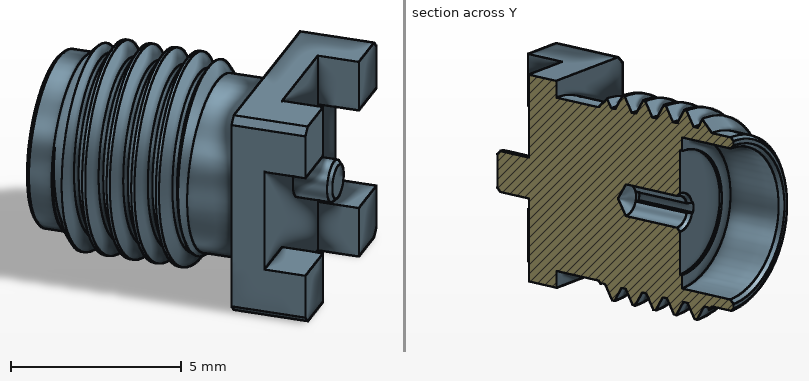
import cadquery as cq
import math


total_length = 8.84
base_thickness = 2.29
base_start = total_length - base_thickness

base_side = 6.35
base_edge_chamfer = 0.22
leg_height = 1.27
leg_gap = 3.18
leg_root = total_length - leg_height

barrel_radius = 2.667
barrel_mouth_chamfer = 0.1
bore_radius = 2.31
bore_depth = 1.9
bore_mouth_chamfer = 0.12

thread_start = 0.8
thread_end = 5.0
thread_major_radius = 3.175
thread_root_radius = 2.725
thread_pitch = 0.762
thread_crest_width = 0.1
flank_angle = math.radians(30)

first_groove_position = 0.451
groove_overshoot = 0.04

insulator_radius = 1.9
insulator_recess = 0.08
insulator_face = bore_depth + insulator_recess

contact_radius = 0.635
socket_radius = 0.48
socket_mouth_radius = 0.59
socket_depth = 2.0
drill_point_slope = math.radians(31)
drill_point_depth = socket_radius * math.tan(drill_point_slope)
socket_slot_width = 0.3
pin_clearance = 0.09
pin_end = total_length - pin_clearance
pin_chamfer = 0.12


def cylinder(start, end, radius):
    """Cylinder on the X axis between two X positions."""
    return cq.Workplane("YZ").workplane(offset=start).circle(radius).extrude(end - start)


def revolve_about_x(points):
    """Solid of revolution from a closed (X, radius) profile."""
    return cq.Workplane("XY").polyline(points).close().revolve(360, (0, 0, 0), (1, 0, 0))


def make_base():
    """Square block with chamfered long edges and a cross-shaped recess that leaves four legs."""
    block = (
        cq.Workplane("YZ")
        .workplane(offset=base_start)
        .rect(base_side, base_side)
        .extrude(base_thickness)
        .edges("|X")
        .chamfer(base_edge_chamfer)
    )
    recess = (
        cq.Workplane("YZ")
        .workplane(offset=leg_root)
        .rect(base_side, leg_gap)
        .extrude(leg_height)
    )
    crossing_recess = recess.rotate((0, 0, 0), (1, 0, 0), 90)
    return block.cut(recess).cut(crossing_recess)


def make_groove_turn():
    """One turn of the trapezoidal thread groove, starting at +Y and X = 0."""
    outer_radius = thread_major_radius + groove_overshoot
    crest_half_width = (thread_pitch - thread_crest_width) / 2
    thread_depth = thread_major_radius - thread_root_radius
    root_half_width = crest_half_width - thread_depth * math.tan(flank_angle)
    outer_half_width = crest_half_width + groove_overshoot * math.tan(flank_angle)

    helix = cq.Wire.makeHelix(thread_pitch, thread_pitch, thread_root_radius)
    groove = (
        cq.Workplane("XZ")
        .polyline([
            (thread_root_radius, -root_half_width),
            (outer_radius, -outer_half_width),
            (outer_radius, outer_half_width),
            (thread_root_radius, root_half_width),
        ])
        .close()
        .sweep(cq.Workplane(obj=helix), isFrenet=True)
    )
    return groove.rotate((0, 0, 0), (1, 1, 1), 120)


def make_threaded_sleeve():
    """Blank with 45 degree run-outs down to the barrel, grooved one turn after another."""
    runout = thread_major_radius - barrel_radius
    sleeve = revolve_about_x([
        (thread_start, 0),
        (thread_start, barrel_radius),
        (thread_start + runout, thread_major_radius),
        (thread_end - runout, thread_major_radius),
        (thread_end, barrel_radius),
        (thread_end, 0),
    ])
    groove_turn = make_groove_turn()
    turn_count = math.ceil((thread_end - first_groove_position) / thread_pitch)
    for turn in range(turn_count):
        position = first_groove_position + turn * thread_pitch
        sleeve = sleeve.cut(groove_turn.translate((position, 0, 0)))
    return sleeve


def make_barrel():
    """Plain barrel, chamfered at the mouth."""
    return cylinder(0, base_start, barrel_radius).faces("<X").chamfer(barrel_mouth_chamfer)


def make_bore():
    """Mating bore with a chamfered mouth, plus the shallow recess above the insulator."""
    return revolve_about_x([
        (0, 0),
        (0, bore_radius + bore_mouth_chamfer),
        (bore_mouth_chamfer, bore_radius),
        (bore_depth, bore_radius),
        (bore_depth, insulator_radius),
        (insulator_face, insulator_radius),
        (insulator_face, 0),
    ])


def make_socket():
    """Contact hole with a chamfered mouth, a drill-point bottom and a slot across the contact."""
    socket_bottom = insulator_face + socket_depth
    hole = revolve_about_x([
        (insulator_face, 0),
        (insulator_face, socket_mouth_radius),
        (insulator_face + socket_mouth_radius - socket_radius, socket_radius),
        (socket_bottom, socket_radius),
        (socket_bottom + drill_point_depth, 0),
    ])
    slot = (
        cq.Workplane("YZ")
        .workplane(offset=insulator_face)
        .rect(2 * contact_radius, socket_slot_width)
        .extrude(socket_depth)
        .intersect(cylinder(insulator_face, socket_bottom, contact_radius))
    )
    return hole.union(slot)


def make_pin():
    """Solder pin standing between the legs."""
    return cylinder(base_start, pin_end, contact_radius).faces(">X").chamfer(pin_chamfer)


result = (
    make_threaded_sleeve()
    .union(make_barrel())
    .union(make_base())
    .union(make_pin())
    .cut(make_bore())
    .cut(make_socket())
)